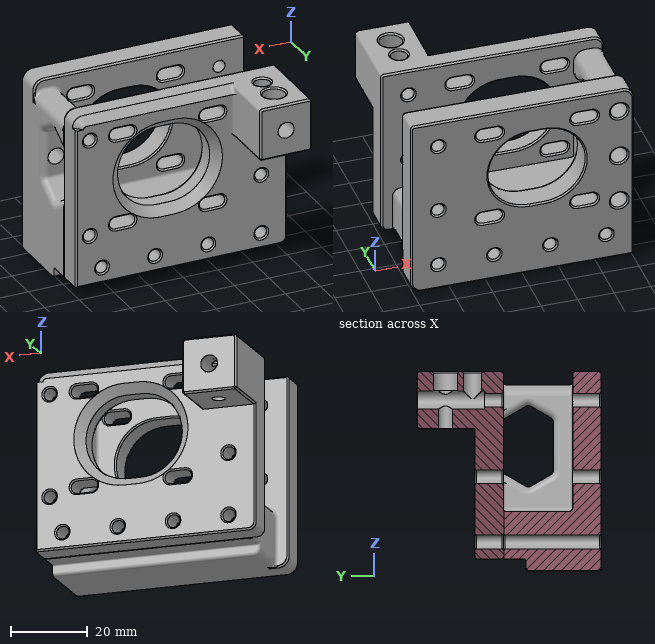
import cadquery as cq
import math

LENGTH = 61.0
HEIGHT = 52.0
PLATE = 7.5
GAP = 18.0
ARM = 15.0
BACK_Y = PLATE + GAP
ARM_END_Y = BACK_Y + PLATE + ARM
BACK_BOTTOM = 3.0

EDGE_CHAMFER = 0.5
HOLE_CHAMFER = 0.4
SMALL_ROUND = 1.0
MEDIUM_ROUND = 2.0
LARGE_ROUND = 3.0
TOP_BEVEL = 2.2

WEB_INSET = 3.5
FLOOR_TOP = 15.5
WALL = 8.0
WALL_X = LENGTH - WALL
WALL_TOP = HEIGHT - WEB_INSET
STEP_LENGTH = 5.8
ROOT_TRIM = 0.25

WINDOW_Y = 19.05
WINDOW_APOTHEM = 6.45
WINDOW_HALF_HEIGHT = 10.75
WINDOW_CORNER = 1.2
WINDOW_ROUND = MEDIUM_ROUND

MOTOR_X = 34.5
MOTOR_Z = 32.45
MOTOR_TRAVEL = 3.9
MOTOR_BORE = 22.7
MOTOR_SLOT_PITCH = 26.0
REAR_OPENING_CHAMFER = 2.5

SCREW = 3.4
PIN = 4.6
EDGE_MARGIN = 7.5
BOTTOM_HOLES = 4
SIDE_HOLE_DROP = 20.0
WALL_HOLE_X = LENGTH - WALL / 2
WALL_HOLE_Z = 31.5
WALL_HOLE_PITCH = 13.95

ARM_SCREW_Y = ARM_END_Y - 7.4
ARM_PIN_Y = ARM_END_Y - 14.45
COUNTERBORE = 6.2
COUNTERBORE_DEPTH = 5.0
CROSS_BORE_DEPTH = 17.5


def box(x0, x1, y0, y1, z0, z1):
    return cq.Workplane("XY").box(x1 - x0, y1 - y0, z1 - z0, centered=False).translate((x0, y0, z0))


def plate(front_y, bottom, bottom_round):
    """Upright plate with three rounded corners and chamfered rims."""
    body = box(0, LENGTH, front_y, front_y + PLATE, bottom, HEIGHT)
    body = body.edges("|Y").edges("<X").edges(">Z").fillet(SMALL_ROUND)
    body = body.edges("|Y").edges(">X").edges(">Z").fillet(LARGE_ROUND)
    body = body.edges("|Y").edges("<X").edges("<Z").fillet(bottom_round)
    return body.faces("<Y or >Y").edges().chamfer(EDGE_CHAMFER)


def y_plane(y):
    """Plane facing -Y, drawn in X and Z."""
    return cq.Workplane(cq.Plane(origin=(0, y, 0), xDir=(1, 0, 0), normal=(0, -1, 0)))


def chamfered_hole(shape, front_y, depth, rear_chamfer=HOLE_CHAMFER):
    """Cutter along Y: shape(plane, growth) places an outline, widened at both mouths."""
    back_y = front_y + depth
    cutter = shape(y_plane(back_y), 0).extrude(depth)
    for mouth_y, chamfer in ((front_y, -HOLE_CHAMFER), (back_y, rear_chamfer)):
        flare = shape(y_plane(mouth_y), abs(chamfer)).extrude(chamfer, taper=45)
        cutter = cutter.union(flare)
    return cutter


def circles(points, diameter):
    return lambda plane, growth: plane.pushPoints(points).circle(diameter / 2 + growth)


def slots(points, travel, width):
    return lambda plane, growth: plane.pushPoints(points).slot2D(
        travel + width + 2 * growth, width + 2 * growth)


def screw_points():
    pitch = (LENGTH - 2 * EDGE_MARGIN) / (BOTTOM_HOLES - 1)
    bottom_row = [(EDGE_MARGIN + i * pitch, EDGE_MARGIN) for i in range(BOTTOM_HOLES)]
    top_z = HEIGHT - EDGE_MARGIN
    return bottom_row + [(EDGE_MARGIN, top_z), (EDGE_MARGIN, top_z - SIDE_HOLE_DROP)]


def wall_hole_points():
    offsets = (-WALL_HOLE_PITCH, 0, WALL_HOLE_PITCH)
    return [(WALL_HOLE_X, WALL_HOLE_Z + offset) for offset in offsets]


def motor_cutouts(front_y, opening_chamfer):
    """Stretched motor opening and its four adjustment slots through one plate."""
    half_pitch = MOTOR_SLOT_PITCH / 2
    corners = [(MOTOR_X + i * half_pitch, MOTOR_Z + k * half_pitch) for i in (-1, 1) for k in (-1, 1)]
    opening = slots([(MOTOR_X, MOTOR_Z)], MOTOR_TRAVEL, MOTOR_BORE)
    corner_slots = slots(corners, MOTOR_TRAVEL, SCREW)
    return [
        chamfered_hole(opening, front_y, PLATE, opening_chamfer),
        chamfered_hole(corner_slots, front_y, PLATE),
    ]


def web_prism(start_y, end_y):
    """L-shaped bar of floor and wall, with its long edges rounded."""
    outline = [
        (WEB_INSET, 0),
        (LENGTH, 0),
        (LENGTH, WALL_TOP),
        (WALL_X, WALL_TOP),
        (WALL_X, FLOOR_TOP),
        (WEB_INSET, FLOOR_TOP),
    ]
    bar = y_plane(start_y).polyline(outline).close().extrude(start_y - end_y)
    bar = bar.edges("|Y").edges(">Z").fillet(LARGE_ROUND)
    inside_corner = cq.selectors.NearestToPointSelector((WALL_X, (start_y + end_y) / 2, FLOOR_TOP))
    bar = bar.edges("|Y").edges(inside_corner).fillet(SMALL_ROUND)
    return bar.edges("|Y").edges("<X").fillet(MEDIUM_ROUND)


def step_relief(start_y, end_y):
    """Space under the raised end of the floor."""
    return box(-0.6, LENGTH + 0.6, start_y, end_y, -LARGE_ROUND, BACK_BOTTOM)


def near(x, y, z):
    return cq.selectors.NearestToPointSelector((x, y, z))


def web():
    """Web between the plates, flared by root fillets at both ends."""
    rear_root = BACK_Y + ROOT_TRIM
    step_y = BACK_Y - STEP_LENGTH
    bar = web_prism(PLATE, rear_root).cut(step_relief(step_y, rear_root + 0.6))
    bar = bar.edges(near(LENGTH / 2, step_y, 0)).fillet(SMALL_ROUND)
    bar = bar.edges(near(WEB_INSET, (step_y + BACK_Y) / 2, BACK_BOTTOM)).fillet(SMALL_ROUND)
    bar = bar.edges(near(LENGTH / 2, step_y, BACK_BOTTOM)).fillet(EDGE_CHAMFER)
    for slab_start, slab_end in ((PLATE - 0.6, PLATE), (rear_root, rear_root + 0.6)):
        bar = bar.union(box(-LARGE_ROUND, LENGTH + LARGE_ROUND, slab_start, slab_end,
                            -LARGE_ROUND, HEIGHT + LARGE_ROUND))
    for root_y in (PLATE, rear_root):
        root = cq.selectors.BoxSelector((-0.6, root_y - 0.05, -0.6), (LENGTH + 0.6, root_y + 0.05, HEIGHT - 0.6))
        bar = bar.edges(root).fillet(SMALL_ROUND)
    bar = bar.intersect(box(0, LENGTH, PLATE, BACK_Y, 0, HEIGHT))
    bar = bar.cut(step_relief(rear_root - SMALL_ROUND, rear_root))
    return bar.cut(window())


def window():
    """Cutter along X for a hexagonal window, open to the back plate, with rounded rims on both wall faces."""
    slope = math.tan(math.radians(30))
    front_corner_z = WINDOW_HALF_HEIGHT - WINDOW_APOTHEM * slope
    open_reach = BACK_Y - WINDOW_Y + WINDOW_ROUND
    open_corner_z = WINDOW_HALF_HEIGHT - open_reach * slope
    outline = [
        (0, WINDOW_HALF_HEIGHT),
        (open_reach, open_corner_z),
        (open_reach, -open_corner_z),
        (0, -WINDOW_HALF_HEIGHT),
        (-WINDOW_APOTHEM, -front_corner_z),
        (-WINDOW_APOTHEM, front_corner_z),
    ]
    prism = cq.Workplane("YZ").polyline(outline).close().extrude(WALL)
    prism = prism.edges("|X").fillet(WINDOW_CORNER)
    span = 2 * (WINDOW_HALF_HEIGHT + 2 * WINDOW_ROUND)
    block = cq.Workplane("YZ").rect(span, span).extrude(WALL)
    rim_zone = cq.selectors.BoxSelector(
        (-0.6, -open_reach - 0.6, -WINDOW_HALF_HEIGHT - 0.6),
        (WALL + 0.6, open_reach + 0.6, WINDOW_HALF_HEIGHT + 0.6))
    frame = block.cut(prism).faces("<X or >X").edges(rim_zone).fillet(WINDOW_ROUND)
    cutter = block.cut(frame)
    mouth = cutter.faces("<X").wires().toPending().workplane().extrude(SMALL_ROUND, combine=False)
    return cutter.union(mouth).translate((WALL_X, WINDOW_Y, MOTOR_Z))


def make_housing():
    """Front plate with the web behind it."""
    body = plate(0, 0, LARGE_ROUND)
    body = body.union(web_prism(PLATE - EDGE_CHAMFER, PLATE))
    body = body.union(web())
    for cutter in motor_cutouts(0, HOLE_CHAMFER):
        body = body.cut(cutter)
    body = body.cut(chamfered_hole(circles(screw_points(), SCREW), 0, BACK_Y))
    return body.cut(chamfered_hole(circles(wall_hole_points(), PIN), 0, BACK_Y))


def arm():
    """Square arm reaching back from the top left corner of the back plate."""
    body = box(0, ARM, BACK_Y + EDGE_CHAMFER, ARM_END_Y, HEIGHT - ARM, HEIGHT)
    body = body.edges("|Y").edges(">Z").fillet(SMALL_ROUND)
    body = body.edges("|Y").edges("<Z").chamfer(EDGE_CHAMFER)
    return body.faces(">Y").edges().chamfer(EDGE_CHAMFER)


def back_top_bevel():
    """Cutter for the rear top edge of the back plate, running on around the rounded corner."""
    rear_y = BACK_Y + PLATE
    kept = box(0, LENGTH, BACK_Y, rear_y, 0, HEIGHT)
    kept = kept.edges("|Y").edges(">X").edges(">Z").fillet(LARGE_ROUND)
    kept = kept.faces(">Y").edges().chamfer(TOP_BEVEL)
    strip = box(TOP_BEVEL, LENGTH, rear_y - TOP_BEVEL, rear_y, HEIGHT - LARGE_ROUND, HEIGHT)
    return strip.cut(kept)


def arm_holes():
    """Counterbored screw hole, pin hole and the bore that the pin hole runs into."""
    top = cq.Workplane("XY", origin=(EDGE_MARGIN, 0, HEIGHT))
    cross_z = HEIGHT - EDGE_MARGIN
    screw = top.center(0, ARM_SCREW_Y).circle(SCREW / 2).extrude(-ARM)
    head = top.center(0, ARM_SCREW_Y).circle(COUNTERBORE / 2).extrude(-COUNTERBORE_DEPTH)
    pin = top.center(0, ARM_PIN_Y).circle(PIN / 2).extrude(-EDGE_MARGIN)
    cross = y_plane(ARM_END_Y).center(EDGE_MARGIN, cross_z).circle(PIN / 2).extrude(CROSS_BORE_DEPTH)
    cutters = [screw, head, pin, cross]
    for y, diameter in ((ARM_SCREW_Y, COUNTERBORE), (ARM_PIN_Y, PIN)):
        mouth = top.center(0, y).circle(diameter / 2 + HOLE_CHAMFER)
        cutters.append(mouth.extrude(-HOLE_CHAMFER, taper=45))
    return cutters


def make_bracket():
    """Back plate with its arm."""
    body = plate(BACK_Y, BACK_BOTTOM, MEDIUM_ROUND)
    body = body.cut(back_top_bevel())
    body = body.union(arm())
    rear_y = BACK_Y + PLATE
    inner_corner = near(ARM, rear_y, HEIGHT - ARM / 2)
    bevel_corner = near(ARM, rear_y - TOP_BEVEL / 2, HEIGHT - TOP_BEVEL / 2)
    body = body.edges(inner_corner + bevel_corner).fillet(SMALL_ROUND)
    for cutter in motor_cutouts(BACK_Y, REAR_OPENING_CHAMFER) + arm_holes():
        body = body.cut(cutter)
    outer_wall_holes = wall_hole_points()[::2]
    plain = [p for p in screw_points() if p[1] < HEIGHT - EDGE_MARGIN] + outer_wall_holes
    body = body.cut(chamfered_hole(circles(plain, SCREW), BACK_Y, PLATE))
    through_arm = circles([(EDGE_MARGIN, HEIGHT - EDGE_MARGIN)], SCREW)
    return body.cut(chamfered_hole(through_arm, BACK_Y, PLATE + ARM))


housing = make_housing()
bracket = make_bracket()
result = cq.Compound.makeCompound([housing.val(), bracket.val()])